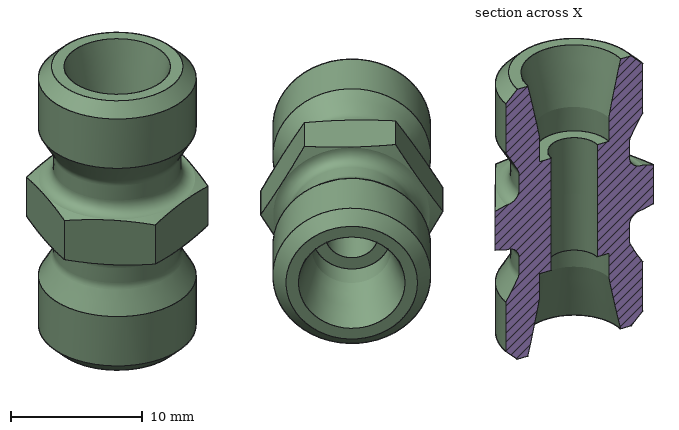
import cadquery as cq
import math

length = 24.0
thread_diameter = 12.0
hex_across_flats = 12.0
hex_height = 4.0

end_chamfer = 1.0
thread_start = 6.6
neck_diameter = 9.7
neck_taper_angle = 30.0
neck_blend_radius = 1.0
hex_fillet_radius = 1.0
hex_chamfer_diameter = 11.88
hex_chamfer_angle = 15.0

bore_diameter = 4.0
socket_diameter = 6.0
socket_depth = 7.0
mouth_diameter = 8.1
mouth_half_angle = 12.0

half_length = length / 2
half_hex = hex_height / 2
thread_radius = thread_diameter / 2
neck_radius = neck_diameter / 2


def tan_degrees(angle):
    return math.tan(math.radians(angle))


def make_end():
    """Turned body from the mid plane up to the top end, without the bore."""
    taper = math.radians(neck_taper_angle)
    tip_radius = thread_radius - end_chamfer

    blend_radius_at_shoulder = neck_radius + neck_blend_radius * (1 - math.cos(taper))
    blend_radius_at_middle = neck_radius + neck_blend_radius * (1 - math.cos(taper / 2))
    shoulder_height = (thread_radius - blend_radius_at_shoulder) / math.tan(taper)
    blend_top = thread_start - shoulder_height
    blend_bottom = blend_top - neck_blend_radius * math.sin(taper)
    blend_middle = blend_bottom + neck_blend_radius * math.sin(taper / 2)

    fillet_foot = neck_radius + hex_fillet_radius
    fillet_top = half_hex + hex_fillet_radius
    fillet_offset = hex_fillet_radius * math.sqrt(0.5)
    fillet_middle = (fillet_foot - fillet_offset, fillet_top - fillet_offset)

    return (
        cq.Workplane("XZ")
        .moveTo(0, 0)
        .lineTo(fillet_foot, 0)
        .lineTo(fillet_foot, half_hex)
        .threePointArc(fillet_middle, (neck_radius, fillet_top))
        .lineTo(neck_radius, blend_bottom)
        .threePointArc(
            (blend_radius_at_middle, blend_middle),
            (blend_radius_at_shoulder, blend_top),
        )
        .lineTo(thread_radius, thread_start)
        .lineTo(thread_radius, half_length - end_chamfer)
        .lineTo(tip_radius, half_length)
        .lineTo(0, half_length)
        .close()
        .revolve(360, (0, 0), (0, 1))
    )


def make_hexagon():
    """Hexagon with flats facing X and conically chamfered corners."""
    across_corners = hex_across_flats / math.cos(math.pi / 6)
    corner_radius = across_corners / 2
    face_radius = hex_chamfer_diameter / 2
    corner_drop = (corner_radius - face_radius) * tan_degrees(hex_chamfer_angle)
    corner_height = half_hex - corner_drop

    hexagon = (
        cq.Workplane("XY")
        .polygon(6, across_corners)
        .extrude(half_hex, both=True)
        .rotate((0, 0, 0), (0, 0, 1), 90)
    )
    chamfer_envelope = (
        cq.Workplane("XZ")
        .moveTo(0, -half_hex)
        .lineTo(face_radius, -half_hex)
        .lineTo(corner_radius, -corner_height)
        .lineTo(corner_radius, corner_height)
        .lineTo(face_radius, half_hex)
        .lineTo(0, half_hex)
        .close()
        .revolve(360, (0, 0), (0, 1))
    )
    return hexagon.intersect(chamfer_envelope)


def make_bore():
    """Upper half of the bore: conical mouth, tube socket and through hole."""
    bore_radius = bore_diameter / 2
    socket_radius = socket_diameter / 2
    mouth_radius = mouth_diameter / 2
    mouth_depth = (mouth_radius - socket_radius) / tan_degrees(mouth_half_angle)
    socket_floor = half_length - socket_depth

    return (
        cq.Workplane("XZ")
        .moveTo(0, 0)
        .lineTo(bore_radius, 0)
        .lineTo(bore_radius, socket_floor)
        .lineTo(socket_radius, socket_floor)
        .lineTo(socket_radius, half_length - mouth_depth)
        .lineTo(mouth_radius, half_length)
        .lineTo(0, half_length)
        .close()
        .revolve(360, (0, 0), (0, 1))
    )


def with_mirror(half):
    """Join an upper half to its mirror image below the mid plane."""
    return half.union(half.mirror("XY"))


result = make_hexagon().union(with_mirror(make_end())).cut(with_mirror(make_bore()))